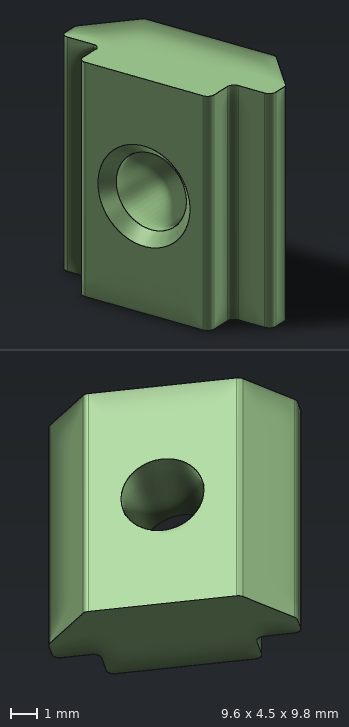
import cadquery as cq

width = 9.6
depth = 4.5
height = 9.8

neck_width = 6.0
neck_depth = 1.5
flange_edge = 1.0
back_width = neck_width
corner_radius = 0.3

hole_diameter = 3.19
countersink_diameter = 4.19
countersink_angle = 90

front = -depth / 2
shoulder = front + neck_depth
slope_start = shoulder + flange_edge
back = depth / 2


def make_body():
    """T-slot nut profile with all its lengthwise edges rounded."""
    right_side = [
        (neck_width / 2, front),
        (neck_width / 2, shoulder),
        (width / 2, shoulder),
        (width / 2, slope_start),
        (back_width / 2, back),
    ]
    left_side = [(-x, y) for x, y in reversed(right_side)]
    return (
        cq.Workplane("XY")
        .workplane(offset=-height / 2)
        .polyline(right_side + left_side)
        .close()
        .extrude(height)
        .edges("|Z")
        .fillet(corner_radius)
    )


def cut_hole(body):
    """Countersunk hole through the middle of the neck face."""
    return (
        body.faces("<Y")
        .workplane(centerOption="CenterOfBoundBox")
        .cskHole(hole_diameter, countersink_diameter, countersink_angle)
    )


result = cut_hole(make_body())